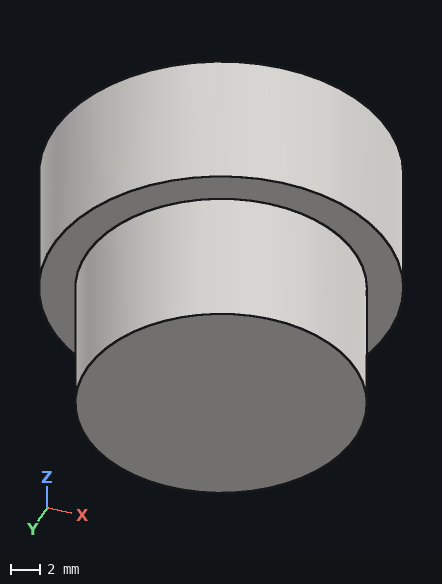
import cadquery as cq

head_diameter = 25
head_height = 10
shank_diameter = 20
shank_height = 10

shank = cq.Workplane("XY").circle(shank_diameter / 2).extrude(shank_height)

head = (
    cq.Workplane("XY")
    .workplane(offset=shank_height)
    .circle(head_diameter / 2)
    .extrude(head_height)
)

result = shank.union(head)